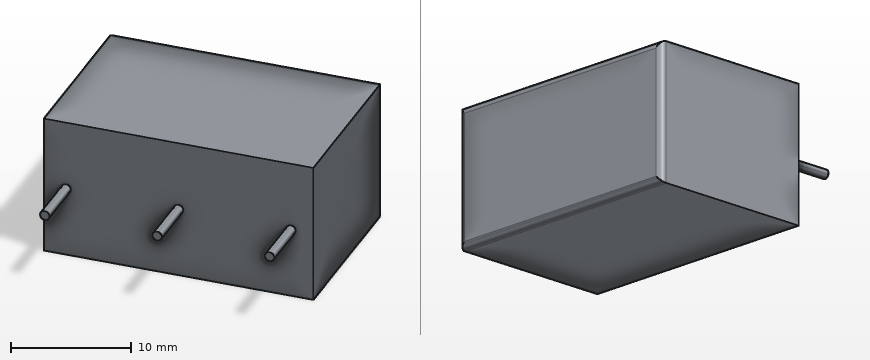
import cadquery as cq

housing_width = 24.0
housing_depth = 16.0
housing_height = 12.5
rim_radius = 0.6

overall_depth = 21.0
pin_length = overall_depth - housing_depth
pin_diameter = 0.85
pin_pitch = 10.0
pin_count = 3


def make_housing():
    """Block with its front face on the XZ plane and its rear rim rounded."""
    block = cq.Workplane("XY").box(
        housing_width, housing_depth, housing_height, centered=(True, False, True)
    )
    return block.faces(">Y").edges().fillet(rim_radius)


def make_pin(x):
    """Round pin that starts on the front face of the housing and points to -Y."""
    return cq.Workplane("XZ").center(x, 0).circle(pin_diameter / 2).extrude(pin_length)


housing = make_housing()

pins = []
for index in range(pin_count):
    pin_x = (index - (pin_count - 1) / 2) * pin_pitch
    pins.append(make_pin(pin_x).val())

result = cq.Compound.makeCompound([housing.val(), *pins])